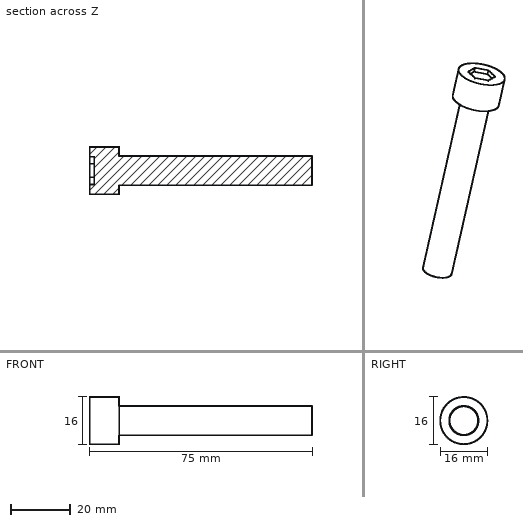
import cadquery as cq
import math

total_length = 75.0
head_diameter = 16.0
shank_diameter = 10.0
head_height = shank_diameter
end_chamfer = 0.2
socket_across_flats = 8.0
socket_depth = 1.5

shank_length = total_length - head_height
socket_across_corners = socket_across_flats / math.cos(math.pi / 6)

head = cq.Workplane("YZ").circle(head_diameter / 2).extrude(head_height)

shank = (
    cq.Workplane("YZ", origin=(head_height, 0, 0))
    .circle(shank_diameter / 2)
    .extrude(shank_length)
    .faces(">X")
    .chamfer(end_chamfer)
)

socket = cq.Workplane("YZ").polygon(6, socket_across_corners).extrude(socket_depth)

result = head.union(shank).cut(socket)